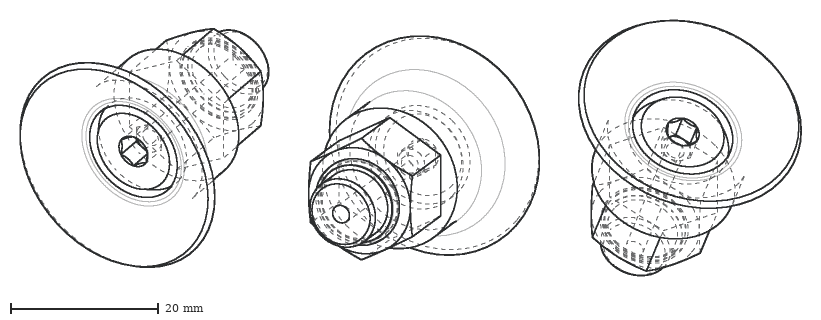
import cadquery as cq
import math

full_length = 32.5

rim_radius = 15.57
rim_height = 0.88
lip_inner_radius = 15.0
body_radius = 20.0 / 2
body_end = 16.0
flare_start = 7.85
flare_radius = 4.88
skirt_start = 4.05

cup_depth = 4.97
cup_floor_radius = 7.93
cup_fillet = 0.31
groove_radius = 14.0 / 2
groove_depth = 2.3
pad_radius = 5.8

hex_flats = 15.08
hex_end = 26.25
hex_chamfer_angle = 30.0

neck_radius = 11.35 / 2
ring_start = 26.55
ring_radius = 12.12 / 2
ring_end = 27.62
ring_round = 0.45
collar_radius = 11.0 / 2
collar_end = 27.8
stud_radius = 9.72 / 2
stud_chamfer = 0.55

bore_radius = 2.5 / 2
socket_flats = 4.0
socket_depth = 3.9
drill_half_angle = 60.0


def revolve_profile(profile):
    """Turn a closed (radius, Y) outline about the Y axis."""
    return profile.close().revolve(360, (0, 0, 0), (0, 1, 0))


def hex_prism(flats, start, length):
    """Hexagonal prism along +Y with two of its corners on the Z axis."""
    prism = cq.Workplane("XY").polygon(6, hex_corner_radius(flats) * 2).extrude(length)
    return prism.rotate((0, 0, 0), (0, 0, 1), 90).rotate((0, 0, 0), (1, 0, 0), -90).translate((0, start, 0))


def hex_corner_radius(flats):
    return flats / 2 / math.cos(math.pi / 6)


def make_cup():
    skirt_slope = math.asin((flare_start - skirt_start) / flare_radius)
    skirt_radius = body_radius + flare_radius * (1 - math.cos(skirt_slope))
    half_slope = skirt_slope / 2
    flare_middle = (
        body_radius + flare_radius * (1 - math.cos(half_slope)),
        flare_start - flare_radius * math.sin(half_slope),
    )
    profile = (
        cq.Workplane("XY")
        .lineTo(lip_inner_radius, 0)
        .lineTo(rim_radius, rim_height)
        .lineTo(skirt_radius, skirt_start)
        .threePointArc(flare_middle, (body_radius, flare_start))
        .lineTo(body_radius, body_end)
        .lineTo(0, body_end)
    )
    return revolve_profile(profile)


def make_cup_hollow():
    """Conical space inside the skirt, rounded where it meets the flat floor."""
    cone_angle = math.atan2(cup_depth, lip_inner_radius - cup_floor_radius)
    direction = (math.cos(cone_angle), math.sin(cone_angle))
    round_start = (
        cup_floor_radius + cup_fillet * direction[0],
        cup_depth - cup_fillet * direction[1],
    )
    profile = (
        cq.Workplane("XY")
        .lineTo(lip_inner_radius, 0)
        .lineTo(*round_start)
        .tangentArcPoint((cup_floor_radius - cup_fillet, cup_depth), relative=False)
        .lineTo(0, cup_depth)
    )
    return revolve_profile(profile)


def make_groove():
    """Groove around the pad: straight outer wall, tapered pad flank, closing to an edge at the bottom."""
    profile = (
        cq.Workplane("XY")
        .moveTo(pad_radius, cup_depth)
        .lineTo(groove_radius, cup_depth)
        .lineTo(groove_radius, cup_depth + groove_depth)
    )
    return revolve_profile(profile)


def make_nut():
    """Hexagon with its stud end chamfered by a cone."""
    corner_radius = hex_corner_radius(hex_flats)
    corner_drop = (corner_radius - hex_flats / 2) * math.tan(math.radians(hex_chamfer_angle))
    envelope = (
        cq.Workplane("XY")
        .moveTo(0, body_end)
        .lineTo(corner_radius, body_end)
        .lineTo(corner_radius, hex_end - corner_drop)
        .lineTo(hex_flats / 2, hex_end)
        .lineTo(0, hex_end)
    )
    return hex_prism(hex_flats, body_end, hex_end - body_end).intersect(revolve_profile(envelope))


def make_stud():
    round_diagonal = ring_round * math.sqrt(0.5)
    round_center = (ring_radius - ring_round, ring_end - ring_round)
    profile = (
        cq.Workplane("XY")
        .moveTo(0, hex_end)
        .lineTo(neck_radius, hex_end)
        .lineTo(neck_radius, ring_start)
        .lineTo(ring_radius, ring_start)
        .lineTo(ring_radius, round_center[1])
        .threePointArc(
            (round_center[0] + round_diagonal, round_center[1] + round_diagonal),
            (round_center[0], ring_end),
        )
        .lineTo(collar_radius, ring_end)
        .lineTo(collar_radius, collar_end)
        .lineTo(stud_radius, collar_end)
        .lineTo(stud_radius, full_length - stud_chamfer)
        .lineTo(stud_radius - stud_chamfer, full_length)
        .lineTo(0, full_length)
    )
    return revolve_profile(profile)


def make_bore():
    """Through bore with a countersunk hexagon socket that ends in a cone."""
    socket_radius = socket_flats / 2
    countersink_radius = hex_corner_radius(socket_flats)
    countersink_depth = countersink_radius - socket_radius
    socket_end = cup_depth + socket_depth
    cone_length = (socket_radius - bore_radius) / math.tan(math.radians(drill_half_angle))
    profile = (
        cq.Workplane("XY")
        .moveTo(0, cup_depth)
        .lineTo(countersink_radius, cup_depth)
        .lineTo(socket_radius, cup_depth + countersink_depth)
        .lineTo(socket_radius, socket_end)
        .lineTo(bore_radius, socket_end + cone_length)
        .lineTo(bore_radius, full_length)
        .lineTo(0, full_length)
    )
    return revolve_profile(profile).union(hex_prism(socket_flats, cup_depth, socket_depth))


result = make_cup().union(make_nut()).union(make_stud())
result = result.cut(make_cup_hollow()).cut(make_groove()).cut(make_bore())